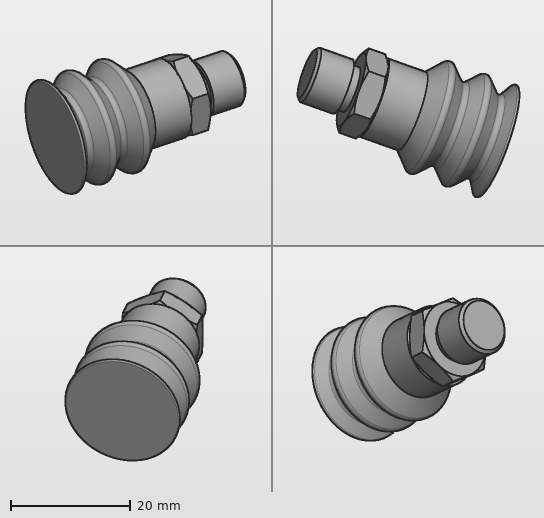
import cadquery as cq
import math

total_length = 34.5

crest_radius = 20.05 / 2
root_radius = 7.52
fold_round = 0.9
fold_angle = math.radians(45)
root_y = 2.5
fold_pitch = 6.5
fold_count = 2

lip_widest_y = 0.28
face_radius = crest_radius - 0.25
lip_edge_y = 0.52
lip_edge_radius = 9.83

body_radius = 14.0 / 2
body_start = 15.52
nut_start = 22.5
nut_end = 26.5
nut_across_flats = 13.0
nut_chamfer_depth = 0.52
undercut_radius = 8.0 / 2
undercut_end = 28.0
thread_radius = 9.73 / 2
thread_chamfer = 0.55


def make_cup():
    """Revolve the lip, the folds and the plain body in one profile."""
    axial = fold_round * math.sin(fold_angle)
    radial = fold_round * (1 - math.cos(fold_angle))

    profile = (
        cq.Workplane("XY")
        .lineTo(face_radius, 0)
        .threePointArc((crest_radius, lip_widest_y), (lip_edge_radius, lip_edge_y))
    )
    for fold in range(fold_count):
        fold_root_y = root_y + fold * fold_pitch
        crest_y = fold_root_y + fold_pitch / 2
        profile = (
            profile.lineTo(root_radius + radial, fold_root_y - axial)
            .threePointArc((root_radius, fold_root_y), (root_radius + radial, fold_root_y + axial))
            .lineTo(crest_radius - radial, crest_y - axial)
            .threePointArc((crest_radius, crest_y), (crest_radius - radial, crest_y + axial))
        )
    profile = (
        profile.lineTo(body_radius, body_start)
        .lineTo(body_radius, nut_start)
        .lineTo(0, nut_start)
        .close()
    )
    return profile.revolve(360, (0, 0, 0), (0, 1, 0))


def make_nut():
    """Hexagon with corners along Z, both ends chamfered down to the inscribed circle."""
    corner_radius = nut_across_flats / math.sqrt(3)
    inscribed_radius = nut_across_flats / 2
    length = nut_end - nut_start
    hexagon = (
        cq.Workplane("XZ", origin=(0, nut_end, 0))
        .transformed(rotate=(0, 0, 90))
        .polygon(6, 2 * corner_radius)
        .extrude(length)
    )
    envelope = (
        cq.Workplane("XY")
        .moveTo(0, nut_start)
        .lineTo(inscribed_radius, nut_start)
        .lineTo(corner_radius, nut_start + nut_chamfer_depth)
        .lineTo(corner_radius, nut_end - nut_chamfer_depth)
        .lineTo(inscribed_radius, nut_end)
        .lineTo(0, nut_end)
        .close()
        .revolve(360, (0, 0, 0), (0, 1, 0))
    )
    return hexagon.intersect(envelope)


def make_stud():
    """Undercut and plain thread cylinder with a chamfered end."""
    undercut = (
        cq.Workplane("XZ", origin=(0, undercut_end, 0))
        .circle(undercut_radius)
        .extrude(undercut_end - nut_end)
    )
    thread = (
        cq.Workplane("XZ", origin=(0, total_length, 0))
        .circle(thread_radius)
        .extrude(total_length - undercut_end)
        .faces(">Y")
        .chamfer(thread_chamfer)
    )
    return undercut.union(thread)


result = make_cup().union(make_nut()).union(make_stud())